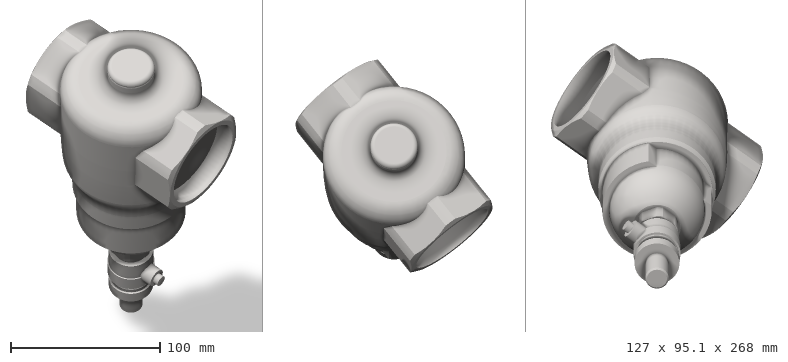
import cadquery as cq
import math


HOUSING_DIAMETER = 95.1
HOUSING_RADIUS = HOUSING_DIAMETER / 2
HOUSING_TOP_Z = 39.5
SHOULDER_FILLET = 12.3
BELLY_RADIUS = 46.0
BELLY_Z = -40.0
BELLY_SAG = 0.38
WAIST_RADIUS = 44.0
WAIST_Z = -46.4
WAIST_SAG = 0.35
COLLAR_RADIUS = 39.5
COLLAR_TOP_Z = -62.2
COLLAR_SAG = 1.13
COLLAR_CHAMFER = 2.1
COLLAR_BOTTOM_Z = -78.8
COLLAR_LIP = 0.8

KNOB_RADIUS = 15.8
KNOB_TOP_Z = 55.0
KNOB_TOP_FILLET = 3.0
KNOB_BASE_FILLET = 4.8
KNOB_GROOVE_DEPTH = 0.3
KNOB_GROOVE_HEIGHT = 2.0

PORT_SPAN = 127.0
PORT_APOTHEM = 34.3
PORT_CORNER_RADIUS = 37.5
PORT_END_RADIUS = 34.0
PORT_CHAMFER_LENGTH = 2.0
PORT_BORE_RADIUS = 30.5
PORT_BORE_DEPTH = 13.7

BOWL_RADIUS = 32.2
DOME_CENTRE_Z = -104.3
BOWL_BOTTOM_Z = -132.0

SLEEVE_RADIUS = 36.7
SLEEVE_BOTTOM_Z = -106.7
SLEEVE_OPENING_Y = 25.2

DRAIN_HEX_APOTHEM = 13.5
DRAIN_HEX_CORNER_RADIUS = 14.5
DRAIN_HEX_BOTTOM_Z = -145.8
NECK_RADIUS = 11.8
VALVE_TOP_Z = -150.3
VALVE_UPPER_RADIUS = 15.0
VALVE_STEP_Z = -164.0
VALVE_LOWER_RADIUS = 15.8
VALVE_BOTTOM_Z = -174.5
VALVE_RIM_RADIUS = 14.5
VALVE_RIM_BOTTOM_Z = -176.3
NUT_RIM_TOP_Z = -178.5
NUT_RIM_RADIUS = 13.7
NUT_TOP_Z = -181.2
NUT_RADIUS = 15.0
NUT_BOTTOM_Z = -189.7
TUBE_RADIUS = 7.8
TUBE_CHAMFER = 1.0
OVERALL_HEIGHT = 268
TUBE_BOTTOM_Z = KNOB_TOP_Z - OVERALL_HEIGHT
STEM_RADIUS = 6.5
STEM_END_X = 22.5
STEM_TIP_RADIUS = 3.8
STEM_TIP_END_X = 26.5


def cylinder(radius, bottom_z, top_z):
    """Solid cylinder on the Z axis between two heights."""
    return cq.Workplane("XY").workplane(offset=bottom_z).circle(radius).extrude(top_z - bottom_z)


def rounded_hexagon(plane, apothem, corner_radius, length):
    """Hexagonal prism on a plane, with its corners turned down to corner_radius."""
    across_corners = 2 * apothem / math.cos(math.radians(30))
    hexagon = cq.Workplane(plane).polygon(6, across_corners).extrude(length)
    return hexagon.intersect(cq.Workplane(plane).circle(corner_radius).extrude(length))


def bulged(start, end, sag):
    """Middle point of an arc from start to end in (r, z); positive sag bulges away from the Z axis."""
    dr = end[0] - start[0]
    dz = end[1] - start[1]
    chord = math.hypot(dr, dz)
    return (
        (start[0] + end[0]) / 2 - sag * dz / chord,
        (start[1] + end[1]) / 2 + sag * dr / chord,
    )


def housing_shell():
    """Turned housing from the flat top down to the chamfered collar."""
    equator = (HOUSING_RADIUS, 0)
    belly = (BELLY_RADIUS, BELLY_Z)
    waist = (WAIST_RADIUS, WAIST_Z)
    collar = (COLLAR_RADIUS, COLLAR_TOP_Z)
    chamfer_bottom_z = COLLAR_BOTTOM_Z + COLLAR_LIP
    lip_radius = COLLAR_RADIUS - COLLAR_CHAMFER
    shell = (
        cq.Workplane("XZ")
        .moveTo(0, HOUSING_TOP_Z)
        .lineTo(HOUSING_RADIUS, HOUSING_TOP_Z)
        .lineTo(*equator)
        .threePointArc(bulged(equator, belly, BELLY_SAG), belly)
        .threePointArc(bulged(belly, waist, WAIST_SAG), waist)
        .threePointArc(bulged(waist, collar, -COLLAR_SAG), collar)
        .lineTo(COLLAR_RADIUS, chamfer_bottom_z + COLLAR_CHAMFER)
        .lineTo(lip_radius, chamfer_bottom_z)
        .lineTo(lip_radius, COLLAR_BOTTOM_Z)
        .lineTo(0, COLLAR_BOTTOM_Z)
        .close()
        .revolve(360, (0, 0), (0, 1))
    )
    return shell.faces(">Z").edges().fillet(SHOULDER_FILLET)


def make_knob():
    """Round knob with a flared foot and a fine V-groove just below its rounded top edge."""
    foot_radius = KNOB_RADIUS + KNOB_BASE_FILLET
    foot_top_z = HOUSING_TOP_Z + KNOB_BASE_FILLET
    flare_offset = KNOB_BASE_FILLET * (1 - math.sqrt(0.5))
    round_offset = KNOB_TOP_FILLET * (1 - math.sqrt(0.5))
    groove_top_z = KNOB_TOP_Z - KNOB_TOP_FILLET
    groove_bottom_z = groove_top_z - KNOB_GROOVE_HEIGHT
    return (
        cq.Workplane("XZ")
        .moveTo(0, HOUSING_TOP_Z)
        .lineTo(foot_radius, HOUSING_TOP_Z)
        .threePointArc((KNOB_RADIUS + flare_offset, HOUSING_TOP_Z + flare_offset), (KNOB_RADIUS, foot_top_z))
        .lineTo(KNOB_RADIUS, groove_bottom_z)
        .lineTo(KNOB_RADIUS - KNOB_GROOVE_DEPTH, (groove_bottom_z + groove_top_z) / 2)
        .lineTo(KNOB_RADIUS, groove_top_z)
        .threePointArc(
            (KNOB_RADIUS - round_offset, KNOB_TOP_Z - round_offset),
            (KNOB_RADIUS - KNOB_TOP_FILLET, KNOB_TOP_Z),
        )
        .lineTo(0, KNOB_TOP_Z)
        .close()
        .revolve(360, (0, 0), (0, 1))
    )


def port_bar():
    """Hexagonal bar through the housing, with both ends bevelled by a cone."""
    half_span = PORT_SPAN / 2
    bar = rounded_hexagon("YZ", PORT_APOTHEM, PORT_CORNER_RADIUS, PORT_SPAN)
    bar = bar.rotate((0, 0, 0), (1, 0, 0), 90).translate((-half_span, 0, 0))
    bevel_envelope = (
        cq.Workplane("XY")
        .moveTo(-half_span, 0)
        .lineTo(-half_span, PORT_END_RADIUS)
        .lineTo(-half_span + PORT_CHAMFER_LENGTH, PORT_CORNER_RADIUS)
        .lineTo(half_span - PORT_CHAMFER_LENGTH, PORT_CORNER_RADIUS)
        .lineTo(half_span, PORT_END_RADIUS)
        .lineTo(half_span, 0)
        .close()
        .revolve(360, (0, 0), (1, 0))
    )
    return bar.intersect(bevel_envelope)


def make_housing():
    """Shell, knob and port bar in one, with a blind bore in each port end."""
    housing = housing_shell().union(make_knob()).union(port_bar())
    for bore_start_x in (-PORT_SPAN / 2, PORT_SPAN / 2 - PORT_BORE_DEPTH):
        port_face = cq.Workplane("YZ", origin=(bore_start_x, 0, 0))
        bore = port_face.circle(PORT_BORE_RADIUS).extrude(PORT_BORE_DEPTH)
        housing = housing.cut(bore)
    return housing


def make_bowl():
    """Cylinder below the collar that ends in a dome, cut flat where the drain valve meets it."""
    dome = cq.Workplane("XY").sphere(BOWL_RADIUS).translate((0, 0, DOME_CENTRE_Z))
    dome = dome.intersect(cylinder(BOWL_RADIUS, BOWL_BOTTOM_Z, DOME_CENTRE_Z))
    return cylinder(BOWL_RADIUS, DOME_CENTRE_Z, COLLAR_BOTTOM_Z).union(dome)


def make_sleeve():
    """Ring around the bowl with a flat-sided opening towards +Y."""
    ring = cylinder(SLEEVE_RADIUS, SLEEVE_BOTTOM_Z, COLLAR_BOTTOM_Z)
    ring = ring.cut(cylinder(BOWL_RADIUS, SLEEVE_BOTTOM_Z, COLLAR_BOTTOM_Z))
    height = COLLAR_BOTTOM_Z - SLEEVE_BOTTOM_Z
    opening = (
        cq.Workplane("XY")
        .box(2 * SLEEVE_RADIUS, SLEEVE_RADIUS, height, centered=(True, False, False))
        .translate((0, SLEEVE_OPENING_Y, SLEEVE_BOTTOM_Z))
    )
    return ring.cut(opening)


def make_drain_valve():
    """Hexagon, coaxial steps from top to bottom, and the two-step stem."""
    hexagon = rounded_hexagon(
        "XY", DRAIN_HEX_APOTHEM, DRAIN_HEX_CORNER_RADIUS, BOWL_BOTTOM_Z - DRAIN_HEX_BOTTOM_Z
    )
    valve = hexagon.translate((0, 0, DRAIN_HEX_BOTTOM_Z))
    steps = (
        (NECK_RADIUS, VALVE_TOP_Z),
        (VALVE_UPPER_RADIUS, VALVE_STEP_Z),
        (VALVE_LOWER_RADIUS, VALVE_BOTTOM_Z),
        (VALVE_RIM_RADIUS, VALVE_RIM_BOTTOM_Z),
        (NECK_RADIUS, NUT_RIM_TOP_Z),
        (NUT_RIM_RADIUS, NUT_TOP_Z),
        (NUT_RADIUS, NUT_BOTTOM_Z),
        (TUBE_RADIUS, TUBE_BOTTOM_Z),
    )
    top_z = DRAIN_HEX_BOTTOM_Z
    for radius, bottom_z in steps:
        valve = valve.union(cylinder(radius, bottom_z, top_z))
        top_z = bottom_z
    valve = valve.faces("<Z").edges().chamfer(TUBE_CHAMFER)
    for radius, end_x in ((STEM_RADIUS, STEM_END_X), (STEM_TIP_RADIUS, STEM_TIP_END_X)):
        stem = cq.Workplane("YZ", origin=(0, 0, VALVE_STEP_Z)).circle(radius).extrude(end_x)
        valve = valve.union(stem)
    return valve


housing = make_housing()
bowl = make_bowl()
sleeve = make_sleeve()
drain_valve = make_drain_valve()

result = cq.Compound.makeCompound([housing.val(), bowl.val(), sleeve.val(), drain_valve.val()])